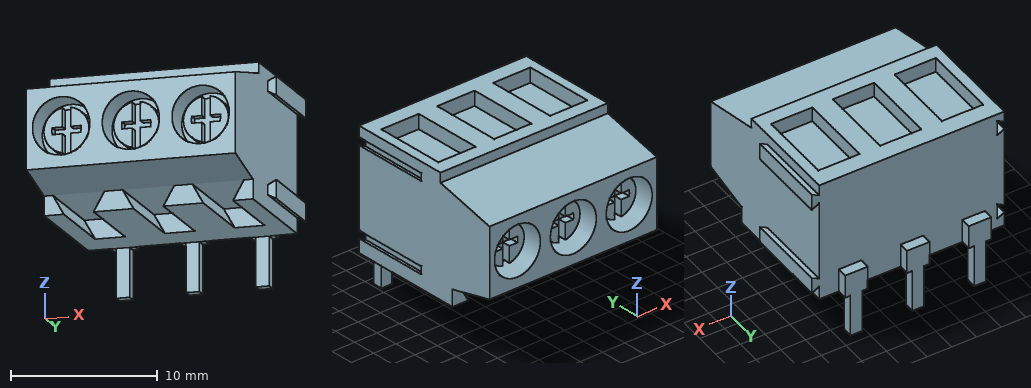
import cadquery as cq


POLES = 3
OVERALL_WIDTH = 15.6
OVERALL_DEPTH = 14.6
OVERALL_HEIGHT = 13.5

RAIL_HEIGHT = 0.61
TERMINAL_THICKNESS = 0.81
HOUSING_WIDTH = OVERALL_WIDTH - RAIL_HEIGHT
HOUSING_DEPTH = OVERALL_DEPTH - TERMINAL_THICKNESS
HOUSING_HEIGHT = 9.98
PITCH = HOUSING_WIDTH / POLES
TOP_LENGTH = 8.61
TOP_STEP = 0.8
BOTTOM_LENGTH = 9.87
BOTTOM_STEP = 1.39
FRONT_TOP_DROP = 2.0
FRONT_BOTTOM_RISE = 2.26

TOP_POCKET_WIDTH = 3.34
TOP_POCKET_LENGTH = 6.0
TOP_POCKET_DEPTH = 1.2
TOP_POCKET_BACK_GAP = 1.4

CHANNEL_TOP_WIDTH = 3.7
CHANNEL_BOTTOM_WIDTH = 2.14
CHANNEL_END = 2.85

COUPLING_LENGTH = 6.58
RAIL_ROOT_WIDTH = 0.7
RAIL_TIP_WIDTH = 1.34
GROOVE_MOUTH_WIDTH = 0.62
GROOVE_FLOOR_WIDTH = 1.25
GROOVE_DEPTH = 0.6
LOWER_COUPLING_Z = 1.47
UPPER_COUPLING_Z = 8.77
COUPLING_HEIGHTS = [LOWER_COUPLING_Z, UPPER_COUPLING_Z]

SCREW_Z = 5.18
SCREW_DIAMETER = 3.23
SCREW_HEIGHT = 1.0
SCREW_RECESS = 1.2
SCREW_POCKET_DIAMETER = 4.1
SCREW_POCKET_DEPTH = SCREW_RECESS + SCREW_HEIGHT
DRIVE_DEPTH = 0.7
LONG_SLOT_WIDTH = 0.6
SHORT_SLOT_WIDTH = 0.48
SHORT_SLOT_LENGTH = 2.09

TAB_WIDTH = 1.83
TAB_HEIGHT = 1.95
PIN_WIDTH = 0.97
PIN_LENGTH = OVERALL_HEIGHT - HOUSING_HEIGHT

FRONT_Y = -HOUSING_DEPTH
SIDE_X = HOUSING_WIDTH / 2
POLE_POSITIONS = [(pole - (POLES - 1) / 2) * PITCH for pole in range(POLES)]


def trapezoid_bar(start_width, end_width, height, back_y, length):
    """Bar with a trapezoid section that grows from z = 0 to z = height, running from back_y to -Y."""
    return (
        cq.Workplane("XZ", origin=(0, back_y, 0))
        .polyline(
            [
                (-start_width / 2, 0),
                (start_width / 2, 0),
                (end_width / 2, height),
                (-end_width / 2, height),
            ]
        )
        .close()
        .extrude(length)
    )


def housing_block():
    """Side outline extruded across the full housing width."""
    outline = [
        (0, 0),
        (0, HOUSING_HEIGHT),
        (-TOP_LENGTH, HOUSING_HEIGHT),
        (-TOP_LENGTH, HOUSING_HEIGHT - TOP_STEP),
        (FRONT_Y, HOUSING_HEIGHT - FRONT_TOP_DROP),
        (FRONT_Y, FRONT_BOTTOM_RISE),
        (-BOTTOM_LENGTH, BOTTOM_STEP),
        (-BOTTOM_LENGTH, 0),
    ]
    return cq.Workplane("YZ").polyline(outline).close().extrude(HOUSING_WIDTH / 2, both=True)


def top_pocket(x):
    """Rectangular pocket sunk into the top face."""
    center_y = -TOP_POCKET_BACK_GAP - TOP_POCKET_LENGTH / 2
    opening = cq.Workplane("XY", origin=(x, center_y, HOUSING_HEIGHT))
    return opening.rect(TOP_POCKET_WIDTH, TOP_POCKET_LENGTH).extrude(-TOP_POCKET_DEPTH)


def bottom_channel(x):
    """Dovetail channel, open at the underside and at the lower front step."""
    channel = trapezoid_bar(
        CHANNEL_BOTTOM_WIDTH, CHANNEL_TOP_WIDTH, BOTTOM_STEP, -CHANNEL_END, BOTTOM_LENGTH - CHANNEL_END
    )
    return channel.translate((x, 0, 0))


def screw_pocket(x):
    """Round pocket in the front face."""
    opening = cq.Workplane("XZ", origin=(x, FRONT_Y, SCREW_Z))
    return opening.circle(SCREW_POCKET_DIAMETER / 2).extrude(-SCREW_POCKET_DEPTH)


def coupling_bar(root_width, tip_width, height, side_x, z):
    """Dovetail bar that starts on the plane x = side_x and widens toward +X."""
    bar = trapezoid_bar(root_width, tip_width, height, 0, COUPLING_LENGTH)
    return bar.rotate((0, 0, 0), (0, 1, 0), 90).translate((side_x, 0, z))


def make_housing():
    body = housing_block()
    for x in POLE_POSITIONS:
        body = body.cut(top_pocket(x)).cut(bottom_channel(x)).cut(screw_pocket(x))
    for z in COUPLING_HEIGHTS:
        body = body.union(coupling_bar(RAIL_ROOT_WIDTH, RAIL_TIP_WIDTH, RAIL_HEIGHT, SIDE_X, z))
        body = body.cut(coupling_bar(GROOVE_MOUTH_WIDTH, GROOVE_FLOOR_WIDTH, GROOVE_DEPTH, -SIDE_X, z))
    return body


def make_screw(x):
    """Screw head with a full-width upright slot crossed by a short round-ended slot."""
    face = cq.Workplane("XZ", origin=(x, FRONT_Y + SCREW_RECESS, SCREW_Z))
    head = face.circle(SCREW_DIAMETER / 2).extrude(-SCREW_HEIGHT)
    long_slot = face.rect(LONG_SLOT_WIDTH, SCREW_DIAMETER).extrude(-DRIVE_DEPTH)
    short_slot = (
        face.circle(SHORT_SLOT_LENGTH / 2)
        .extrude(-DRIVE_DEPTH)
        .intersect(face.rect(SHORT_SLOT_LENGTH, SHORT_SLOT_WIDTH).extrude(-DRIVE_DEPTH))
    )
    return head.cut(long_slot).cut(short_slot)


def make_terminal(x):
    """Flat tab against the back face with the solder pin below it."""
    shoulder = cq.Workplane("XY", origin=(x, TERMINAL_THICKNESS / 2, 0))
    tab = shoulder.rect(TAB_WIDTH, TERMINAL_THICKNESS).extrude(TAB_HEIGHT)
    pin = shoulder.rect(PIN_WIDTH, TERMINAL_THICKNESS).extrude(-PIN_LENGTH)
    return tab.union(pin)


housing = make_housing()
screws = [make_screw(x) for x in POLE_POSITIONS]
terminals = [make_terminal(x) for x in POLE_POSITIONS]

result = cq.Compound.makeCompound([housing.val(), *[body.val() for body in screws + terminals]])